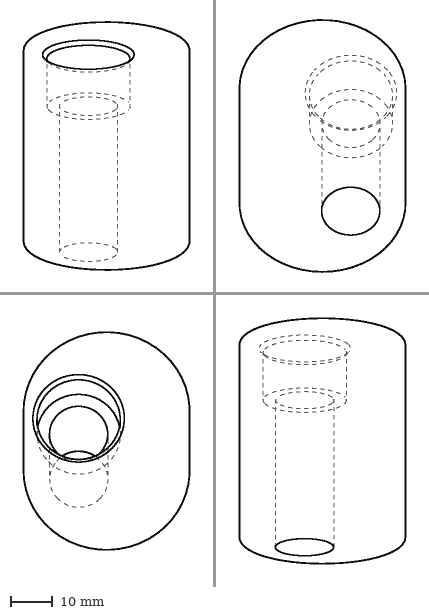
import cadquery as cq

body_diameter = 40
body_height = 50
edge_radius = 1

hole_offset_y = -7
hole_diameter = 14
counterbore_diameter = 20
counterbore_depth = 13
mouth_chamfer = 1


def make_body():
    """Upright cylinder with both rims rounded."""
    body = cq.Workplane("XY").circle(body_diameter / 2).extrude(body_height)
    return body.edges("%CIRCLE").fillet(edge_radius)


def make_hole_cutter():
    """Revolved stepped profile: through hole, counterbore and chamfered mouth."""
    hole_radius = hole_diameter / 2
    bore_radius = counterbore_diameter / 2
    floor_z = body_height - counterbore_depth
    profile = (
        cq.Workplane("XZ")
        .lineTo(hole_radius, 0)
        .lineTo(hole_radius, floor_z)
        .lineTo(bore_radius, floor_z)
        .lineTo(bore_radius, body_height - mouth_chamfer)
        .lineTo(bore_radius + mouth_chamfer, body_height)
        .lineTo(0, body_height)
        .close()
    )
    cutter = profile.revolve(360, (0, 0, 0), (0, 1, 0))
    return cutter.translate((0, hole_offset_y, 0))


result = make_body().cut(make_hole_cutter())